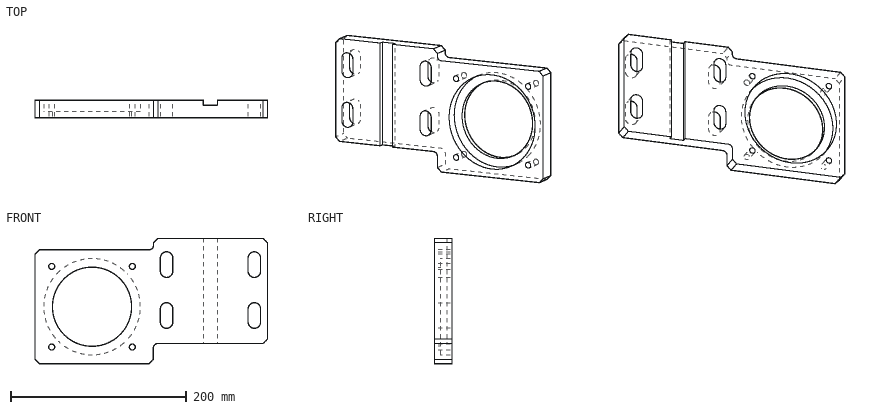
import cadquery as cq
import math

thickness = 20.0
flange_width = 135.0
flange_height = 130.0
pad_width = 130.0
pad_height = 120.0
pad_top = 143.0
corner_chamfer = 5.0
inner_fillet = 5.0

bore_diameter = 90.0
recess_diameter = 110.0
recess_depth = 13.0
bore_x = flange_height / 2
bore_z = flange_height / 2

bolt_circle_diameter = 130.0
bolt_hole_diameter = 6.6

slot_width = 14.0
slot_length = 29.0
slot_pitch_x = 100.0
slot_pitch_z = 58.0
slot_centre_above_pad_bottom = 61.0

keyway_width = 16.0
keyway_depth = 5.5

total_width = flange_width + pad_width
pad_bottom = pad_top - pad_height
pad_centre_x = flange_width + pad_width / 2
pad_centre_z = pad_bottom + pad_height / 2
slot_centre_z = pad_bottom + slot_centre_above_pad_bottom
bolt_pitch = bolt_circle_diameter / math.sqrt(2)


def front_plane(x=0.0, z=0.0):
    """Sketch plane on the front face (Y = 0); a negative extrusion goes into the plate."""
    return cq.Workplane("XZ", origin=(x, 0, z))


def make_plate():
    outline = [
        (0, 0),
        (flange_width, 0),
        (flange_width, pad_bottom),
        (total_width, pad_bottom),
        (total_width, pad_top),
        (flange_width, pad_top),
        (flange_width, flange_height),
        (0, flange_height),
    ]
    plate = front_plane().polyline(outline).close().extrude(-thickness)
    inner_corners = [(flange_width, pad_bottom), (flange_width, flange_height)]
    for x, z in outline:
        edge = cq.selectors.NearestToPointSelector((x, thickness / 2, z))
        if (x, z) in inner_corners:
            plate = plate.edges("|Y").edges(edge).fillet(inner_fillet)
        else:
            plate = plate.edges("|Y").edges(edge).chamfer(corner_chamfer)
    return plate


def make_bore():
    bore = front_plane(bore_x, bore_z).circle(bore_diameter / 2).extrude(-thickness)
    recess = (
        cq.Workplane("XZ", origin=(bore_x, thickness, bore_z))
        .circle(recess_diameter / 2)
        .extrude(recess_depth)
    )
    return bore.union(recess)


def make_bolt_holes():
    return (
        front_plane(bore_x, bore_z)
        .rect(bolt_pitch, bolt_pitch, forConstruction=True)
        .vertices()
        .circle(bolt_hole_diameter / 2)
        .extrude(-thickness)
    )


def make_mounting_slots():
    return (
        front_plane(pad_centre_x, slot_centre_z)
        .rect(slot_pitch_x, slot_pitch_z, forConstruction=True)
        .vertices()
        .slot2D(slot_length, slot_width, angle=90)
        .extrude(-thickness)
    )


def make_keyway():
    return cq.Workplane("XY").box(keyway_width, keyway_depth, pad_height).translate(
        (pad_centre_x, thickness - keyway_depth / 2, pad_centre_z)
    )


result = (
    make_plate()
    .cut(make_bore())
    .cut(make_bolt_holes())
    .cut(make_mounting_slots())
    .cut(make_keyway())
)